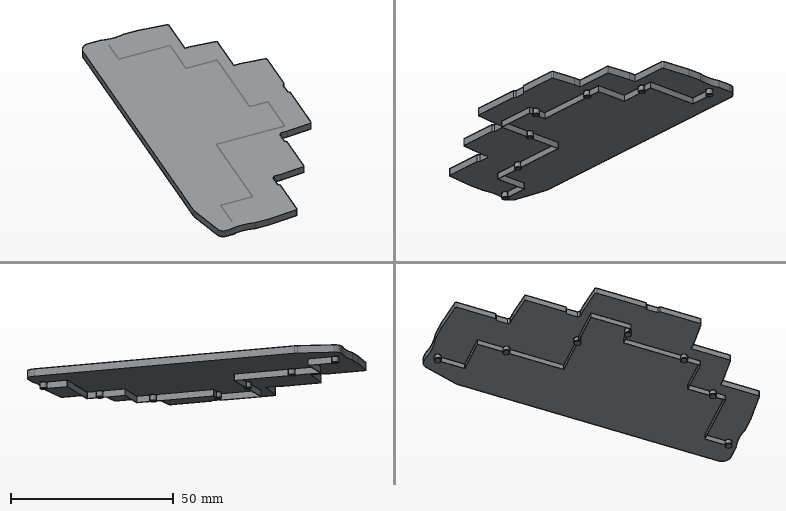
import cadquery as cq
import math

length = 102.2
depth = 50.5
plate_thickness = 2.4
total_height = 4.4
foot_height = total_height - plate_thickness

lower_step_y = 29.4
middle_step_y = 39.9
middle_left_x = 13.8
middle_right_x = 83.2
upper_left_x = 27.6
upper_right_x = 64.2
riser_straight = 2.2
riser_angle = 5.5
riser_slope = math.tan(math.radians(riser_angle))
side_taper_y = 19.5
top_corner_radius = 0.5
middle_corner_radius = 0.3

left_hollow_bottom_y = 7.4
right_hollow_bottom_y = 6.5
hollow_top_y = 14.9
hollow_depth = 0.5

left_corner_radius = 3.2
right_corner_radius = 2.0
ramp_start_x = 89.3
ramp_angle = 15.0
ramp_slope = math.tan(math.radians(ramp_angle))
ramp_blend_radius = 4.1

notch_width = 4.7
notch_floor = 3.7
notch_depth = 0.6
notches = [(44.4, depth), (66.6, middle_step_y), (85.6, lower_step_y)]

wall_thickness = 0.05
wall_left_x = 3.1
wall_right_x = 98.9
wall_end_y = 8.6
wall_left_y = 25.8
wall_middle_y = 36.2
wall_top_y = 42.3
wall_right_y = 19.3
wall_first_riser_x = 10.8
wall_second_riser_x = 23.2
wall_top_left_x = 48.4
wall_top_right_x = 61.6
wall_last_drop_x = 90.0
wall_path = [
    (wall_left_x, wall_end_y),
    (wall_first_riser_x, wall_end_y),
    (wall_first_riser_x, wall_left_y),
    (wall_second_riser_x, wall_left_y),
    (wall_second_riser_x, wall_middle_y),
    (wall_top_left_x, wall_middle_y),
    (wall_top_left_x, wall_top_y),
    (wall_top_right_x, wall_top_y),
    (wall_top_right_x, wall_right_y),
    (wall_last_drop_x, wall_right_y),
    (wall_last_drop_x, wall_end_y),
    (wall_right_x, wall_end_y),
]
peg_diameter = 2.2
peg_chamfer = 0.2
peg_centers = [
    (wall_left_x, wall_end_y),
    (14.9, wall_left_y),
    (28.5, wall_middle_y),
    (wall_top_left_x, 39.8),
    (wall_top_right_x, (wall_top_y + wall_right_y) / 2),
    (80.5, wall_right_y),
    (wall_right_x, wall_end_y),
]


def round_corner(body, x, y, radius):
    """Fillet the upright plate edge nearest to (x, y)."""
    point = (x, y, plate_thickness / 2)
    return body.edges(cq.selectors.NearestToPointSelector(point)).fillet(radius)


def make_plate():
    side_lean = (lower_step_y - side_taper_y) * riser_slope
    middle_lean = (middle_step_y - lower_step_y - riser_straight) * riser_slope
    upper_lean = (depth - middle_step_y - riser_straight) * riser_slope
    left_hollow_y = (left_hollow_bottom_y + hollow_top_y) / 2
    right_hollow_y = (right_hollow_bottom_y + hollow_top_y) / 2
    ramp_end_y = (length - ramp_start_x) * ramp_slope
    plate = (
        cq.Workplane("XY")
        .moveTo(0, 0)
        .lineTo(ramp_start_x, 0)
        .lineTo(length, ramp_end_y)
        .lineTo(length, right_hollow_bottom_y)
        .threePointArc((length - hollow_depth, right_hollow_y), (length, hollow_top_y))
        .lineTo(length, side_taper_y)
        .lineTo(length - side_lean, lower_step_y)
        .lineTo(middle_right_x, lower_step_y)
        .lineTo(middle_right_x, lower_step_y + riser_straight)
        .lineTo(middle_right_x - middle_lean, middle_step_y)
        .lineTo(upper_right_x, middle_step_y)
        .lineTo(upper_right_x, middle_step_y + riser_straight)
        .lineTo(upper_right_x - upper_lean, depth)
        .lineTo(upper_left_x + upper_lean, depth)
        .lineTo(upper_left_x, middle_step_y + riser_straight)
        .lineTo(upper_left_x, middle_step_y)
        .lineTo(middle_left_x + middle_lean, middle_step_y)
        .lineTo(middle_left_x, lower_step_y + riser_straight)
        .lineTo(middle_left_x, lower_step_y)
        .lineTo(side_lean, lower_step_y)
        .lineTo(0, side_taper_y)
        .lineTo(0, hollow_top_y)
        .threePointArc((hollow_depth, left_hollow_y), (0, left_hollow_bottom_y))
        .close()
        .extrude(plate_thickness)
    )
    plate = round_corner(plate, 0, 0, left_corner_radius)
    plate = round_corner(plate, ramp_start_x, 0, ramp_blend_radius)
    plate = round_corner(plate, length, ramp_end_y, right_corner_radius)
    for x, y in [
        (side_lean, lower_step_y),
        (length - side_lean, lower_step_y),
        (upper_left_x + upper_lean, depth),
        (upper_right_x - upper_lean, depth),
    ]:
        plate = round_corner(plate, x, y, top_corner_radius)
    for x in (middle_left_x + middle_lean, middle_right_x - middle_lean):
        plate = round_corner(plate, x, middle_step_y, middle_corner_radius)
    return plate


def make_notch(center_x, top_y):
    """Trapezoidal notch that narrows toward its floor."""
    floor_y = top_y - notch_depth
    return (
        cq.Workplane("XY")
        .moveTo(center_x - notch_width / 2, top_y)
        .lineTo(center_x - notch_floor / 2, floor_y)
        .lineTo(center_x + notch_floor / 2, floor_y)
        .lineTo(center_x + notch_width / 2, top_y)
        .close()
        .extrude(plate_thickness)
    )


def make_wall():
    """Thin wall along the stepped path, reaching up to the top face of the plate."""
    return (
        cq.Workplane("XY", origin=(0, 0, -foot_height))
        .polyline(wall_path)
        .offset2D(wall_thickness / 2, "intersection")
        .extrude(total_height)
    )


def make_pegs():
    return (
        cq.Workplane("XY")
        .pushPoints(peg_centers)
        .circle(peg_diameter / 2)
        .extrude(-foot_height)
        .faces("|Z")
        .chamfer(peg_chamfer)
    )


plate = make_plate()
for notch_x, notch_top_y in notches:
    plate = plate.cut(make_notch(notch_x, notch_top_y))

result = plate.union(make_pegs(), clean=False).union(make_wall(), clean=False)